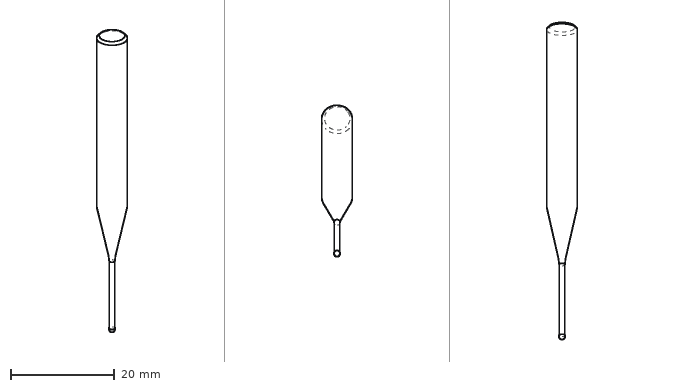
import cadquery as cq
import math

total_length = 65.0
shank_radius = 3.0
shank_chamfer = 0.5
taper_top = 27.55
taper_bottom = 16.85
taper_end_radius = 0.7
tip_top = 16.0
tip_bottom = 15.6

neck_radius = 0.57
head_radius = 0.6
head_band = 0.25
head_top = head_radius + head_band

taper_angle = math.atan2(shank_radius - taper_end_radius, taper_top - taper_bottom)
blend_radius = (taper_bottom - tip_top) / math.sin(taper_angle)
tip_radius = taper_end_radius - blend_radius * (1 - math.cos(taper_angle))


def revolve_profile(profile):
    """Turn a closed half profile (radius, height) around the Z axis."""
    return profile.close().revolve(360, (0, 0, 0), (0, 1, 0))


def make_shank():
    half_angle = taper_angle / 2
    blend_middle = (
        tip_radius + blend_radius * (1 - math.cos(half_angle)),
        tip_top + blend_radius * math.sin(half_angle),
    )
    profile = (
        cq.Workplane("XZ")
        .moveTo(0, tip_bottom)
        .lineTo(neck_radius, tip_bottom)
        .lineTo(tip_radius, tip_top)
        .threePointArc(blend_middle, (taper_end_radius, taper_bottom))
        .lineTo(shank_radius, taper_top)
        .lineTo(shank_radius, total_length - shank_chamfer)
        .lineTo(shank_radius - shank_chamfer, total_length)
        .lineTo(0, total_length)
    )
    return revolve_profile(profile)


def make_cutter():
    nose_offset = head_radius * math.sin(math.pi / 4)
    profile = (
        cq.Workplane("XZ")
        .threePointArc((nose_offset, head_radius - nose_offset), (head_radius, head_radius))
        .lineTo(head_radius, head_top)
        .lineTo(neck_radius, head_top)
        .lineTo(neck_radius, tip_bottom)
        .lineTo(0, tip_bottom)
    )
    return revolve_profile(profile)


shank = make_shank()
cutter = make_cutter()
result = cq.Compound.makeCompound([shank.val(), cutter.val()])